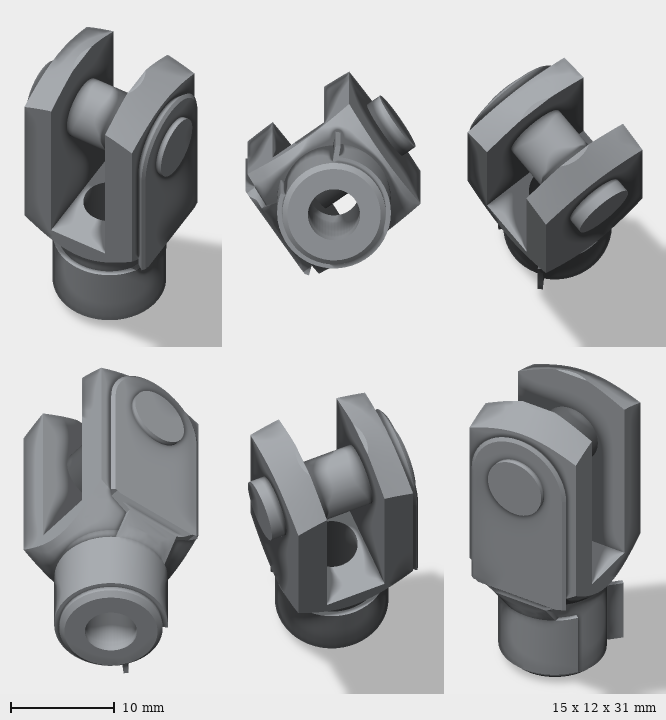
import cadquery as cq
import math

total_height = 31.0
fork_width = 12.0
slot_width = 6.0
slot_floor = 12.0
half_fork = fork_width / 2
top_flat_radius = 3.5
top_slope = math.radians(30)
corner_radius = 8.68
neck_radius = 5.0
neck_top = 9.0
end_chamfer = 0.5
bore_radius = 2.5

pin_radius = 3.0
pin_length = 15.0
pin_height = 24.0

sheet = 0.5
plate_rim_radius = 5.33
plate_inner_radius = 4.75
plate_outer_radius = 5.0
plate_rim_x = 6.7
plate_outer_x = 6.95
plate_bottom = 10.97
plate_edge_height = 10.8
tongue_shoulder = 10.4
tongue_bottom = 9.85
tongue_half_width = 2.88
ring_bottom = 1.0
ring_top = 7.5
ring_radius = neck_radius + sheet
ear_angle = 135.0
ear_tip_radius = 6.57
ear_offset = 0.5


def make_fork():
    """Square fork with turned conical ends, a turned neck, a slot and a bore."""
    top_drop = (corner_radius - top_flat_radius) * math.tan(top_slope)
    turned = (
        cq.Workplane("XZ")
        .polyline([
            (0, 0),
            (neck_radius - end_chamfer, 0),
            (neck_radius, end_chamfer),
            (neck_radius, neck_top),
            (corner_radius, neck_top + corner_radius - neck_radius),
            (corner_radius, total_height - top_drop),
            (top_flat_radius, total_height),
            (0, total_height),
        ])
        .close()
        .revolve(360, (0, 0), (0, 1))
    )
    square = cq.Workplane("XY").rect(fork_width, fork_width).extrude(total_height)
    slot = (
        cq.Workplane("XY")
        .workplane(offset=slot_floor)
        .rect(slot_width, fork_width)
        .extrude(total_height - slot_floor)
    )
    bore = cq.Workplane("XY").circle(bore_radius).extrude(slot_floor)
    return turned.intersect(square).cut(slot).cut(bore)


def make_pin():
    return (
        cq.Workplane("YZ")
        .workplane(offset=-pin_length / 2)
        .center(0, pin_height)
        .circle(pin_radius)
        .extrude(pin_length)
    )


def make_plate():
    """Bevelled plate: round about the pin at the top, straight-sided below."""
    half_section = [
        (half_fork, 0),
        (half_fork, plate_inner_radius),
        (plate_rim_x, plate_rim_radius),
        (plate_outer_x, plate_outer_radius),
        (plate_outer_x, 0),
    ]
    head = (
        cq.Workplane("XY", origin=(0, 0, pin_height))
        .polyline(half_section)
        .close()
        .revolve(360, (0, 0), (1, 0))
    )
    half_shank = (
        cq.Workplane("XY", origin=(0, 0, plate_bottom))
        .polyline(half_section)
        .close()
        .extrude(pin_height - plate_bottom)
    )
    return head.union(half_shank).union(half_shank.mirror("XZ"))


def make_tongue():
    """Tapered, stepped lower end of the plate."""
    tongue_x = half_fork + sheet
    side = (
        cq.Workplane("XZ")
        .polyline([
            (half_fork, plate_bottom),
            (plate_outer_x, plate_bottom),
            (plate_outer_x, plate_edge_height),
            (tongue_x, tongue_shoulder),
            (tongue_x, tongue_bottom),
            (half_fork, tongue_bottom),
        ])
        .close()
        .extrude(plate_rim_radius, both=True)
    )
    face = (
        cq.Workplane("YZ")
        .polyline([
            (-plate_inner_radius, plate_bottom),
            (plate_inner_radius, plate_bottom),
            (tongue_half_width, tongue_bottom),
            (-tongue_half_width, tongue_bottom),
        ])
        .close()
        .extrude(plate_outer_x)
    )
    return side.intersect(face)


def make_strap():
    """Sloping strap that blends the curved ring into the flat tongue."""
    inner_x = math.sqrt(neck_radius**2 - tongue_half_width**2)
    outer_x = math.sqrt(ring_radius**2 - tongue_half_width**2)
    w = tongue_half_width
    return (
        cq.Workplane("XY", origin=(0, 0, ring_top))
        .moveTo(inner_x, -w)
        .lineTo(outer_x, -w)
        .threePointArc((ring_radius, 0), (outer_x, w))
        .lineTo(inner_x, w)
        .threePointArc((neck_radius, 0), (inner_x, -w))
        .close()
        .workplane(offset=tongue_bottom - ring_top)
        .moveTo(half_fork, -w)
        .lineTo(half_fork + sheet, -w)
        .lineTo(half_fork + sheet, w)
        .lineTo(half_fork, w)
        .close()
        .loft(ruled=True)
    )


def make_ring():
    """Ring around the neck, open on +Y, with one ear turned outward."""
    height = ring_top - ring_bottom
    base = cq.Workplane("XY", origin=(0, 0, ring_bottom))
    ear_far_face = ear_offset + sheet
    ear_spread = math.degrees(math.asin(ear_far_face / ring_radius))
    half_gap = math.radians(ear_angle - ear_spread - 90)
    gap_depth = 2 * ring_radius
    gap_x = gap_depth * math.tan(half_gap)
    gap = base.polyline([(0, 0), (gap_x, gap_depth), (-gap_x, gap_depth)]).close().extrude(height)
    ring = base.circle(ring_radius).circle(neck_radius).extrude(height).cut(gap)
    ear = (
        base.moveTo(neck_radius, -ear_far_face)
        .lineTo(ear_tip_radius, -ear_far_face)
        .lineTo(ear_tip_radius, -ear_offset)
        .lineTo(neck_radius, -ear_offset)
        .close()
        .extrude(height)
        .rotate((0, 0, 0), (0, 0, 1), ear_angle)
    )
    return ring.union(ear)


result = (
    make_fork()
    .union(make_pin())
    .union(make_plate())
    .union(make_tongue())
    .union(make_strap())
    .union(make_ring())
)